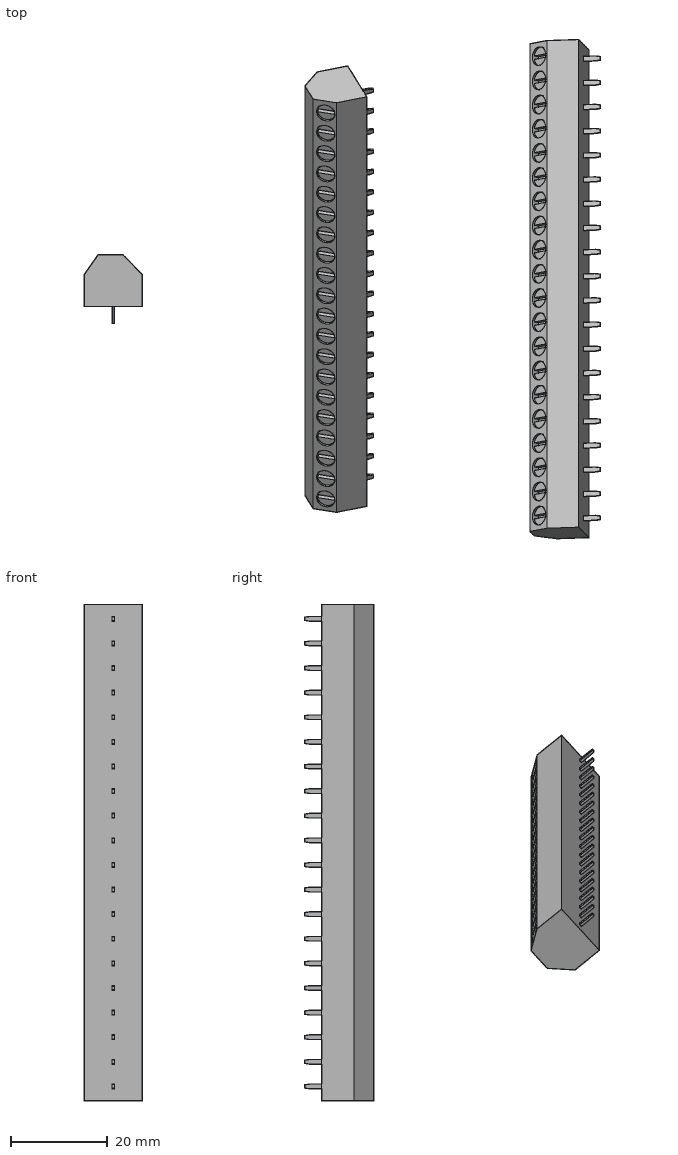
import cadquery as cq

length = 102.5
width = 12.0
total_depth = 14.3
pin_length = 3.5
housing_depth = total_depth - pin_length
slope_depth = 4.1
entry_slope_width = 2.9
rear_slope_width = 4.0

pole_count = 20
end_margin = 3.0
pitch = (length - 2 * end_margin) / (pole_count - 1)
pole_heights = [end_margin + i * pitch for i in range(pole_count)]

pin_thickness = 0.5
pin_height = 1.0
pin_tip_height = 0.7
pin_tip_length = 1.0

hole_diameter = 3.9
hole_offset = 0.2
hole_depth = 0.5
screw_slot_width = 0.7
screw_slot_depth = 1.2

half_width = width / 2
slope_start = housing_depth - slope_depth


def make_housing():
    outline = [
        (-half_width, 0),
        (half_width, 0),
        (half_width, slope_start),
        (half_width - rear_slope_width, housing_depth),
        (-half_width + entry_slope_width, housing_depth),
        (-half_width, slope_start),
    ]
    return cq.Workplane("XY").polyline(outline).close().extrude(length)


def make_pin(z):
    shoulder = pin_tip_length - pin_length
    outline = [
        (0, z - pin_height / 2),
        (shoulder, z - pin_height / 2),
        (-pin_length, z - pin_tip_height / 2),
        (-pin_length, z + pin_tip_height / 2),
        (shoulder, z + pin_height / 2),
        (0, z + pin_height / 2),
    ]
    return cq.Workplane("YZ").polyline(outline).close().extrude(pin_thickness / 2, both=True)


def make_screw_hole(z):
    slope_middle = (-half_width + entry_slope_width / 2, housing_depth - slope_depth / 2, z)
    slope_plane = cq.Plane(
        origin=slope_middle,
        xDir=(entry_slope_width, slope_depth, 0),
        normal=(-slope_depth, entry_slope_width, 0),
    )
    base = cq.Workplane(slope_plane).center(-hole_offset, 0)
    full_depth = hole_depth + screw_slot_depth
    hole = base.circle(hole_diameter / 2).extrude(-hole_depth)
    bore = base.circle(hole_diameter / 2).extrude(-full_depth)
    slot = base.rect(hole_diameter, screw_slot_width).extrude(-full_depth).intersect(bore)
    return hole.union(slot)


result = make_housing()
for z in pole_heights:
    result = result.union(make_pin(z))
    result = result.cut(make_screw_hole(z))